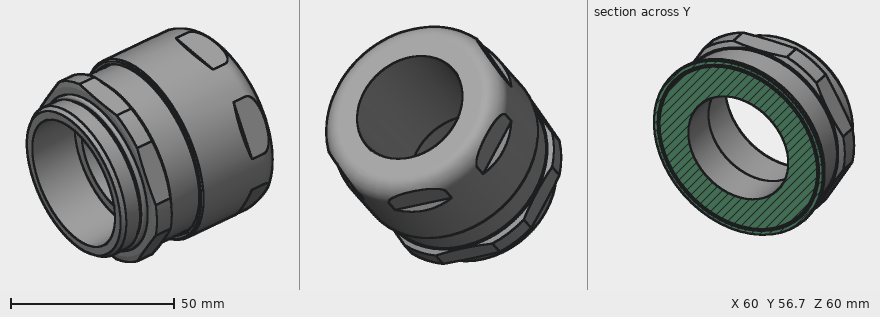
import cadquery as cq
import math

total_length = 56.7
outer_radius = 30.0
flat_distance = 56.95 / 2
flat_count = 6

thread_radius = 50.0 / 2
thread_end_radius = 47.9 / 2
thread_lead_length = 1.45
relief_start = 6.65
relief_depth = thread_radius - thread_end_radius
gasket_start = 7.45
gasket_radius = 25.9

collar_start = 9.05
collar_face_radius = 28.15
collar_face_rise = 0.3
collar_rim_end = 15.05
collar_top_radius = 28.25
collar_edge_start = 16.0
collar_end = 16.45
neck_radius = 56.0 / 2

nut_start = 26.7
nut_chamfer = 0.55
clearance_radius = 56.95 / 2
clearance_depth = 1.8
dome_radius = 6.0
nut_flat_start = 46.25
flat_depth = outer_radius - flat_distance

bore_radius = 42.2 / 2
bore_depth = 16.25
hole_radius = 35.2 / 2


def make_body():
    """Revolve the (radius, Y) half section around the Y axis."""
    dome_start = total_length - dome_radius
    dome_center = outer_radius - dome_radius
    dome_mid = dome_radius * math.sqrt(0.5)
    gasket_section_radius = (gasket_radius - thread_end_radius) / 2
    gasket_center = gasket_radius - gasket_section_radius
    gasket_level = gasket_start + gasket_section_radius
    gasket_seat_radius = gasket_center + math.sqrt(
        gasket_section_radius**2 - (collar_start - gasket_level) ** 2
    )
    return (
        cq.Workplane("XY")
        .moveTo(bore_radius, 0)
        .lineTo(thread_end_radius, 0)
        .lineTo(thread_radius, thread_lead_length)
        .lineTo(thread_radius, relief_start)
        .lineTo(thread_end_radius, relief_start + relief_depth)
        .lineTo(thread_end_radius, gasket_level)
        .threePointArc(
            (gasket_center, gasket_start),
            (gasket_seat_radius, collar_start),
        )
        .lineTo(collar_face_radius, collar_start)
        .lineTo(outer_radius, collar_start + collar_face_rise)
        .lineTo(outer_radius, collar_rim_end)
        .lineTo(collar_top_radius, collar_edge_start)
        .lineTo(neck_radius, collar_end)
        .lineTo(neck_radius, nut_start + clearance_depth)
        .lineTo(clearance_radius, nut_start + clearance_depth)
        .lineTo(clearance_radius, nut_start)
        .lineTo(outer_radius - nut_chamfer, nut_start)
        .lineTo(outer_radius, nut_start + nut_chamfer)
        .lineTo(outer_radius, dome_start)
        .threePointArc(
            (dome_center + dome_mid, dome_start + dome_mid),
            (dome_center, total_length),
        )
        .lineTo(hole_radius, total_length)
        .lineTo(hole_radius, bore_depth)
        .lineTo(bore_radius, bore_depth)
        .close()
        .revolve(360, (0, 0, 0), (0, 1, 0))
    )


def make_flat_cutter(profile):
    """Extrude a (Y, Z) profile across the part to cut the flat on the +Z side."""
    return cq.Workplane("YZ").polyline(profile).close().extrude(outer_radius, both=True)


def cut_flats(body, cutter):
    for index in range(flat_count):
        angle = index * 360 / flat_count
        body = body.cut(cutter.rotate((0, 0, 0), (0, 1, 0), angle))
    return body


collar_cutter = make_flat_cutter([
    (collar_start, flat_distance),
    (collar_end, flat_distance),
    (collar_end, outer_radius),
    (collar_start, outer_radius),
])

nut_cutter = make_flat_cutter([
    (nut_flat_start, flat_distance),
    (total_length, flat_distance),
    (total_length, outer_radius),
    (nut_flat_start - flat_depth, outer_radius),
])

result = cut_flats(make_body(), collar_cutter)
result = cut_flats(result, nut_cutter)